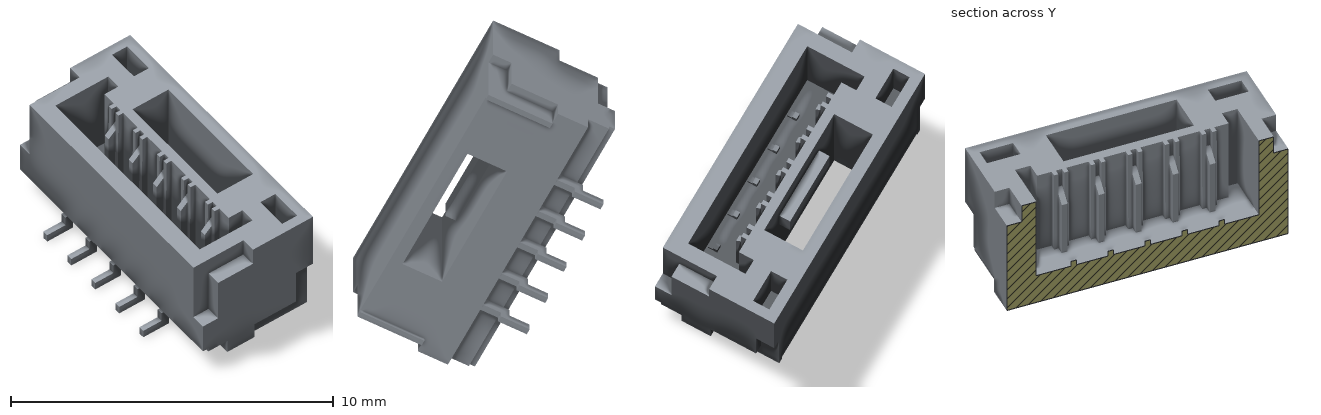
import cadquery as cq


width = 9.5
depth = 4.25
height = 4.2
standoff = 0.14
side = width / 2

relief_depth = 0.94
relief_top = 0.65
lip_depth = 0.21
lip_bottom = 0.79

step_inset = 0.49
step_length = 1.93
step_height = 0.65
step_front_depth = 0.59
step_bottom = 1.93

cavity_half_width = 3.75
cavity_front = 0.62
cavity_back = 2.13
cavity_floor = 1.235
key_inner = 3.23
key_back = 2.66
wall_draft = 0.02

window_width = 4.41
window_front = 2.45
window_back = 3.83
catch_width = 2.49
catch_depth = 0.38
catch_bottom = 2.47
catch_height = 0.76

pocket_inner = 3.29
pocket_outer = 4.42
pocket_front = 3.31
pocket_back = 3.89
pocket_floor = 2.47

tab_recess = 0.31
tab_thickness = 0.18
tab_front = 2.01
tab_clearance = 0.03
tab_height = 0.73
tab_upright_depth = 0.65
tab_upright_top = 2.04

contact_count = 5
contact_row_length = 5.0
contact_pitch = contact_row_length / (contact_count - 1)
contact_width = 0.2
contact_xs = [i * contact_pitch - contact_row_length / 2 for i in range(contact_count)]
guide_width = 0.49
guide_front = 1.94
blade_front = 1.67
blade_back = 2.07
blade_front_top = 3.15
blade_back_top = 3.53
stub_front = 0.665
stub_step = 0.85
stub_back = 1.0
stub_low_height = 0.095
stub_high_height = 0.19
lead_thickness = 0.29
lead_arm_bottom = 0.24
lead_reach = 0.7


def block(x, y, z):
    """Box given by its (low, high) limits along each axis."""
    size = [high - low for low, high in (x, y, z)]
    return cq.Workplane("XY").box(*size, centered=False).translate((x[0], y[0], z[0]))


def side_profile(points, x_low, x_high):
    """Closed (Y, Z) outline extruded between two X positions."""
    return cq.Workplane("YZ").workplane(offset=x_low).polyline(points).close().extrude(x_high - x_low)


def both_sides(shape):
    """Shape together with its mirror image in the symmetry plane."""
    return shape.union(shape.mirror("YZ"))


def centred(span, x=0.0):
    """Limits of a span centred on x."""
    return (x - span / 2, x + span / 2)


def make_shell():
    outline = [
        (0, height),
        (0, lip_bottom),
        (lip_depth, lip_bottom),
        (lip_depth, relief_top),
        (relief_depth, relief_top),
        (relief_depth, standoff),
        (depth, standoff),
        (depth, height),
    ]
    return side_profile(outline, -side, side)


def make_corner_steps():
    outline = [
        (0, step_bottom),
        (step_front_depth, step_bottom),
        (step_front_depth, height - step_height),
        (step_length, height - step_height),
        (step_length, height),
        (0, height),
    ]
    return both_sides(side_profile(outline, side - step_inset, side))


def make_cavity():
    levels = (cavity_floor, height)
    main = block((-cavity_half_width, cavity_half_width), (cavity_front, cavity_back), levels)
    keyway = [
        (cavity_front, cavity_floor),
        (key_back - wall_draft, cavity_floor),
        (key_back, height),
        (cavity_front, height),
    ]
    return main.union(both_sides(side_profile(keyway, key_inner, cavity_half_width)))


def make_window():
    return block(centred(window_width), (window_front, window_back), (0, height))


def make_catch():
    catch_top = catch_bottom + catch_height
    return block(centred(catch_width), (window_front, window_front + catch_depth), (catch_bottom, catch_top))


def make_pockets():
    return both_sides(block((pocket_inner, pocket_outer), (pocket_front, pocket_back), (pocket_floor, height)))


def make_tab_layer(x_low, x_high, front):
    """L-shaped slab in the lower rear corner, on both sides."""
    upright_front = depth - tab_upright_depth
    outline = [
        (front, 0),
        (depth, 0),
        (depth, tab_upright_top),
        (upright_front, tab_upright_top),
        (upright_front, tab_height),
        (front, tab_height),
    ]
    return both_sides(side_profile(outline, x_low, x_high))


def make_guide(x):
    """Pair of ribs flanking the slot of one contact."""
    rib = [
        (guide_front - wall_draft, cavity_floor),
        (guide_front, height),
        (cavity_back, height),
        (cavity_back, cavity_floor),
    ]
    slot = block(centred(contact_width, x), (guide_front - wall_draft, cavity_back), (cavity_floor, height))
    return side_profile(rib, *centred(guide_width, x)).cut(slot)


def make_contact(x):
    x_low, x_high = centred(contact_width, x)
    blade = [
        (blade_front, cavity_floor),
        (blade_front, blade_front_top),
        (blade_back, blade_back_top),
        (cavity_back, blade_back_top),
        (cavity_back, cavity_floor),
    ]
    stub = [
        (stub_front, cavity_floor),
        (stub_front, cavity_floor + stub_low_height),
        (stub_step, cavity_floor + stub_low_height),
        (stub_step, cavity_floor + stub_high_height),
        (stub_back, cavity_floor + stub_high_height),
        (stub_back, cavity_floor),
    ]
    lead = [
        (-lead_reach, 0),
        (lead_thickness, 0),
        (lead_thickness, lead_arm_bottom),
        (relief_depth, lead_arm_bottom),
        (relief_depth, relief_top),
        (0, relief_top),
        (0, lead_thickness),
        (-lead_reach, lead_thickness),
    ]
    return [side_profile(outline, x_low, x_high) for outline in (blade, stub, lead)]


tab_outer = side - tab_recess
tab_inner = tab_outer - tab_thickness

result = make_shell().cut(make_corner_steps()).cut(make_cavity()).cut(make_window()).cut(make_pockets())
result = result.cut(make_tab_layer(tab_inner, side, tab_front - tab_clearance))
result = result.union(make_tab_layer(tab_inner, tab_outer, tab_front)).union(make_catch())
for contact_x in contact_xs:
    result = result.union(make_guide(contact_x))
    for piece in make_contact(contact_x):
        result = result.union(piece)